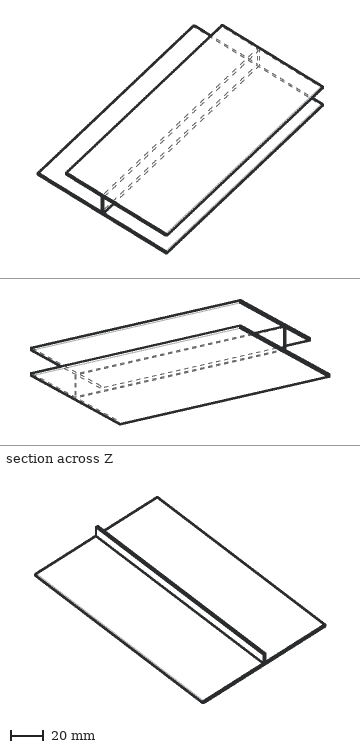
import cadquery as cq

length = 152.4
height = 18.288
bottom_width = 101.6
top_width = 79.375
wall = 1.651
web_offset = 0.254

right_edge = bottom_width / 2


def flange(width, base_z):
    """Flat plate ending at the common right edge, with fully rounded long edges."""
    return (
        cq.Workplane("XZ")
        .center(right_edge - width / 2, base_z + wall / 2)
        .slot2D(width, wall)
        .extrude(length / 2, both=True)
    )


def web():
    """Upright wall joining the two flanges, reaching to the middle of each one's thickness."""
    plate = cq.Workplane("XY").box(wall, length, height - wall)
    return plate.translate((web_offset, 0, height / 2))


bottom_flange = flange(bottom_width, 0)
top_flange = flange(top_width, height - wall)

result = bottom_flange.union(web()).union(top_flange)